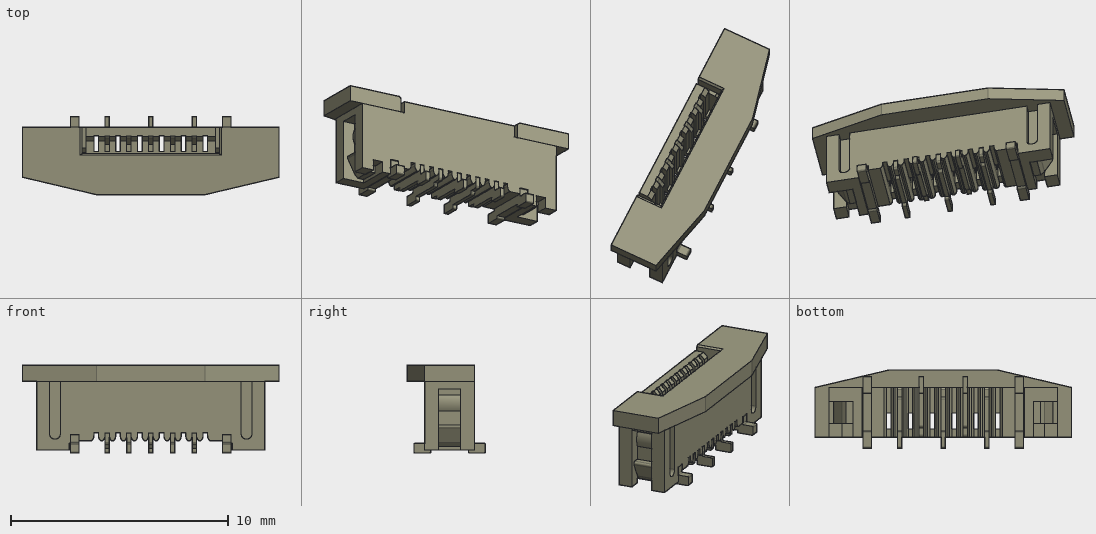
import cadquery as cq

OVERALL_LENGTH = 11.8
OVERALL_HEIGHT = 4.04
PITCH = 1.0
CONTACT_COUNT = 5
SLOT_COUNT = 2 * CONTACT_COUNT + 1
CONTACT_WIDTH = 0.2

HOUSING_LENGTH = 10.49
HOUSING_DEPTH = 2.3
HOUSING_BOTTOM = 0.13
HOUSING_TOP = 3.29
HALF_DEPTH = HOUSING_DEPTH / 2
HALF_LENGTH = HOUSING_LENGTH / 2

ENTRY_LENGTH = 5.95
ENTRY_FRONT = -0.06
ENTRY_BACK = 0.51
ENTRY_FLOOR = 1.12
WALL_TOP = 3.84
WALL_BEVEL_DEPTH = 0.21
WALL_BEVEL_HEIGHT = WALL_BEVEL_DEPTH
RAMP_LENGTH = 6.3
RAMP_BACK = 0.19
RAMP_HEIGHT = RAMP_BACK

SLOT_FRONT = 0.04
SLOT_BACK = 0.75
NOTCH_TOP = 0.92
NOTCH_FLARE_START = 0.79
NOTCH_FLARE_HALF_WIDTH = 0.21

UNDERSIDE = 0.55
FOOT_CLEARANCE_LENGTH = 7.48

GROOVE_X = 4.4
GROOVE_WIDTH = 0.5
GROOVE_BOTTOM = 0.64
GROOVE_DEPTH = 0.35

CHANNEL_WIDTH = 1.0
CHANNEL_TOP = 2.94
CHANNEL_INNER_X = 4.15
BACK_GAP_TOP = 0.64

PLATE_DEPTH = 3.1
PLATE_FRONT_LENGTH = 5.0
PLATE_NOTCH_LENGTH = RAMP_LENGTH
PLATE_NOTCH_CHAMFER_X = 0.11
PLATE_NOTCH_CHAMFER_Y = 0.07
PLATE_NOTCH_CHAMFER_HEIGHT = 0.07
PLATE_FRONT_Y = HALF_DEPTH - PLATE_DEPTH

ARM_FACE_X = 4.65
ARM_BULGE = 0.08
BULGE_TOP = 2.65
BULGE_BOTTOM = 1.94
HOOK_TOP = 1.3
HOOK_NOSE_X = 5.1
HOOK_NOSE_RADIUS = 0.1
HOOK_BOTTOM = 0.47
ARM_BOTTOM = 0.3
ARM_TIP_BEVEL = HOOK_BOTTOM - ARM_BOTTOM

FOOT_END = HALF_DEPTH + 0.5
FOOT_INNER_END = 0.86
FOOT_TOP = 0.45
FOOT_ROUND = 0.05
TOP_EDGE_ROUND = 0.04

CONTACT_END = HALF_DEPTH - 0.01
CONTACT_BOTTOM = 0.38
CONTACT_STEP_Y = 0.71
CONTACT_STEP_BOTTOM = 0.2
CONTACT_END_ROUND = 0.1
BEAM_FACE_Y = 0.37
BEAM_TIP_Y = 0.67
BEAM_TOP = 3.81
BEAM_SLOPE_HEIGHT = 0.51
BEAM_TIP_ROUND = 0.1

HOLD_DOWN_X = 3.49
HOLD_DOWN_WIDTH = 0.41
HOLD_DOWN_TOP = 0.85
HOLD_DOWN_END = HALF_DEPTH - 0.04


def box(x_range, y_range, z_range):
    """Box between two limits on each axis."""
    size = [high - low for low, high in (x_range, y_range, z_range)]
    corner = cq.Vector(x_range[0], y_range[0], z_range[0])
    return cq.Workplane(cq.Solid.makeBox(*size, corner))


def centred_box(length, y_range, z_range):
    """Box centred on X = 0."""
    return box((-length / 2, length / 2), y_range, z_range)


def extrude_along_x(points, width):
    """Extrude a Y-Z outline by a width centred on X = 0."""
    return cq.Workplane("YZ", origin=(-width / 2, 0, 0)).polyline(points).close().extrude(width)


def slot_positions():
    """X of every contact slot, at half the contact pitch."""
    return [(i - (SLOT_COUNT - 1) / 2) * PITCH / 2 for i in range(SLOT_COUNT)]


def contact_positions():
    return [(i - (CONTACT_COUNT - 1) / 2) * PITCH for i in range(CONTACT_COUNT)]


def with_mirror(right_half):
    """A +X feature together with its mirror image."""
    return right_half.union(right_half.mirror("YZ"))


def cable_wall():
    """Back wall of the cable entry, bevelled towards the entry."""
    bevel_z = WALL_TOP - WALL_BEVEL_HEIGHT
    return extrude_along_x(
        [
            (HALF_DEPTH, HOUSING_TOP),
            (HALF_DEPTH, WALL_TOP),
            (ENTRY_BACK + WALL_BEVEL_DEPTH, WALL_TOP),
            (ENTRY_BACK, bevel_z),
            (ENTRY_BACK, HOUSING_TOP),
        ],
        ENTRY_LENGTH,
    )


def cable_entry():
    """Slot for the cable, with a ramp that widens its mouth at both ends."""
    slot = centred_box(ENTRY_LENGTH, (ENTRY_FRONT, ENTRY_BACK), (ENTRY_FLOOR, HOUSING_TOP))
    ramp = extrude_along_x(
        [
            (RAMP_BACK, HOUSING_TOP),
            (0, HOUSING_TOP - RAMP_HEIGHT),
            (ENTRY_FRONT, HOUSING_TOP - RAMP_HEIGHT),
            (ENTRY_FRONT, HOUSING_TOP),
        ],
        RAMP_LENGTH,
    )
    return slot.union(ramp)


def contact_slot(x):
    """Vertical contact slot and the flared notch below it that runs front to back."""
    half_width = CONTACT_WIDTH / 2
    shaft = centred_box(CONTACT_WIDTH, (SLOT_FRONT, SLOT_BACK), (0, WALL_TOP))
    half_notch = (
        cq.Workplane("XZ", origin=(0, HALF_DEPTH, 0))
        .moveTo(0, NOTCH_TOP)
        .lineTo(half_width, NOTCH_TOP)
        .lineTo(half_width, NOTCH_FLARE_START)
        .tangentArcPoint((NOTCH_FLARE_HALF_WIDTH, UNDERSIDE), relative=False)
        .lineTo(NOTCH_FLARE_HALF_WIDTH, 0)
        .lineTo(0, 0)
        .close()
        .extrude(HOUSING_DEPTH)
    )
    return shaft.union(with_mirror(half_notch)).translate((x, 0, 0))


def underside_recess():
    """Raised underside between the hold-downs, stepped to clear their feet."""
    across = (-HALF_DEPTH, HALF_DEPTH)
    middle = centred_box(2 * HOLD_DOWN_X, across, (0, UNDERSIDE))
    foot_clearance = centred_box(FOOT_CLEARANCE_LENGTH, across, (0, FOOT_TOP))
    return middle.union(foot_clearance)


def front_groove():
    """Round-ended groove in the front face, open at the top."""
    radius = GROOVE_WIDTH / 2
    centre_z = GROOVE_BOTTOM + radius
    return (
        cq.Workplane("XZ", origin=(GROOVE_X, GROOVE_DEPTH - HALF_DEPTH, 0))
        .moveTo(-radius, HOUSING_TOP)
        .lineTo(-radius, centre_z)
        .threePointArc((0, GROOVE_BOTTOM), (radius, centre_z))
        .lineTo(radius, HOUSING_TOP)
        .close()
        .extrude(GROOVE_DEPTH)
    )


def end_channel():
    """Channel in the end face, its passage up to the slider plate, and a gap in the back wall."""
    half_width = CHANNEL_WIDTH / 2
    channel = box((CHANNEL_INNER_X, HALF_LENGTH), (-half_width, half_width), (0, CHANNEL_TOP))
    passage = box((CHANNEL_INNER_X, ARM_FACE_X), (-half_width, half_width), (CHANNEL_TOP, HOUSING_TOP))
    back_gap = box((CHANNEL_INNER_X, ARM_FACE_X), (half_width, HALF_DEPTH), (0, BACK_GAP_TOP))
    return channel.union(passage).union(back_gap)


def hold_down_pocket():
    """Slot from front to back that takes the upright part of a hold-down."""
    half_width = HOLD_DOWN_WIDTH / 2
    return box(
        (HOLD_DOWN_X - half_width, HOLD_DOWN_X + half_width),
        (-HALF_DEPTH, HALF_DEPTH),
        (0, HOLD_DOWN_TOP),
    )


def make_housing():
    body = centred_box(HOUSING_LENGTH, (-HALF_DEPTH, HALF_DEPTH), (HOUSING_BOTTOM, HOUSING_TOP))
    body = body.union(cable_wall()).cut(cable_entry()).cut(underside_recess())
    for x in slot_positions():
        body = body.cut(contact_slot(x))
    for feature in (front_groove(), end_channel(), hold_down_pocket()):
        body = body.cut(with_mirror(feature))
    return body


def slider_plate():
    """Plate with tapered front corners and a notch around the cable wall."""
    half_length = OVERALL_LENGTH / 2
    half_front = PLATE_FRONT_LENGTH / 2
    plate = (
        cq.Workplane("XY", origin=(0, 0, HOUSING_TOP))
        .polyline(
            [
                (-half_length, HALF_DEPTH),
                (-half_length, -HALF_DEPTH),
                (-half_front, PLATE_FRONT_Y),
                (half_front, PLATE_FRONT_Y),
                (half_length, -HALF_DEPTH),
                (half_length, HALF_DEPTH),
            ]
        )
        .close()
        .extrude(OVERALL_HEIGHT - HOUSING_TOP)
    )
    notch = centred_box(PLATE_NOTCH_LENGTH, (ENTRY_FRONT, HALF_DEPTH), (HOUSING_TOP, OVERALL_HEIGHT))
    return plate.cut(notch).cut(notch_chamfer())


def notch_chamfer():
    """Bevel around the top edge of the notch."""
    half_length = PLATE_NOTCH_LENGTH / 2
    outer_half_length = half_length + PLATE_NOTCH_CHAMFER_X
    bevel_bottom = OVERALL_HEIGHT - PLATE_NOTCH_CHAMFER_HEIGHT
    outer_front = ENTRY_FRONT - PLATE_NOTCH_CHAMFER_Y
    lower = cq.Wire.makePolygon(
        [
            cq.Vector(-half_length, HALF_DEPTH, bevel_bottom),
            cq.Vector(-half_length, ENTRY_FRONT, bevel_bottom),
            cq.Vector(half_length, ENTRY_FRONT, bevel_bottom),
            cq.Vector(half_length, HALF_DEPTH, bevel_bottom),
        ],
        close=True,
    )
    upper = cq.Wire.makePolygon(
        [
            cq.Vector(-outer_half_length, HALF_DEPTH, OVERALL_HEIGHT),
            cq.Vector(-outer_half_length, outer_front, OVERALL_HEIGHT),
            cq.Vector(outer_half_length, outer_front, OVERALL_HEIGHT),
            cq.Vector(outer_half_length, HALF_DEPTH, OVERALL_HEIGHT),
        ],
        close=True,
    )
    return cq.Workplane(cq.Solid.makeLoft([lower, upper], True))


def latch_arm():
    """Arm below the plate with a shallow bulge and a snap hook with a rounded nose."""
    arm = (
        cq.Workplane("XZ", origin=(0, CHANNEL_WIDTH / 2, 0))
        .moveTo(CHANNEL_INNER_X, HOUSING_TOP)
        .lineTo(ARM_FACE_X, HOUSING_TOP)
        .lineTo(ARM_FACE_X, BULGE_TOP)
        .threePointArc(
            (ARM_FACE_X + ARM_BULGE, (BULGE_TOP + BULGE_BOTTOM) / 2),
            (ARM_FACE_X, BULGE_BOTTOM),
        )
        .lineTo(ARM_FACE_X, HOOK_TOP)
        .lineTo(HOOK_NOSE_X, HOOK_TOP)
        .lineTo(ARM_FACE_X, HOOK_BOTTOM)
        .lineTo(ARM_FACE_X - ARM_TIP_BEVEL, ARM_BOTTOM)
        .lineTo(CHANNEL_INNER_X, ARM_BOTTOM)
        .close()
        .extrude(CHANNEL_WIDTH)
    )
    return arm.edges("|Y").edges(">X").fillet(HOOK_NOSE_RADIUS)


def make_slider():
    return slider_plate().union(with_mirror(latch_arm()))


def foot(width, root_y):
    """Solder foot that sticks out of the front, with a rounded toe and a filleted root."""
    toe = (
        centred_box(width, (-FOOT_END, -FOOT_INNER_END), (0, FOOT_TOP))
        .edges("|X")
        .fillet(FOOT_ROUND)
    )
    root_top = FOOT_TOP + FOOT_ROUND
    root_y_end = -root_y - FOOT_ROUND
    root = (
        cq.Workplane("YZ", origin=(-width / 2, 0, 0))
        .moveTo(root_y_end, FOOT_TOP)
        .lineTo(-root_y, FOOT_TOP)
        .lineTo(-root_y, root_top)
        .radiusArc((root_y_end, FOOT_TOP), FOOT_ROUND)
        .close()
        .extrude(width)
    )
    core = centred_box(width, (-root_y, -FOOT_INNER_END), (FOOT_ROUND, root_top))
    return toe.union(root).union(core)


def contact_base():
    """Bar across the housing with its foot at the front and a stepped, rounded back underside."""
    bar = (
        centred_box(CONTACT_WIDTH, (-CONTACT_END, CONTACT_END), (CONTACT_BOTTOM, NOTCH_TOP))
        .edges("|X and >Y and <Z")
        .fillet(CONTACT_END_ROUND)
    )
    step = (
        centred_box(CONTACT_WIDTH, (-CONTACT_END, CONTACT_STEP_Y), (CONTACT_STEP_BOTTOM, NOTCH_TOP))
        .edges("|X and >Y and <Z")
        .fillet(CONTACT_END_ROUND)
    )
    base = bar.union(step).edges("|X and >Z").fillet(TOP_EDGE_ROUND)
    return base.union(foot(CONTACT_WIDTH, CONTACT_END))


def contact_beam():
    """Upright beam whose face slopes back to a rounded tip."""
    beam = extrude_along_x(
        [
            (BEAM_FACE_Y, NOTCH_TOP),
            (BEAM_FACE_Y, BEAM_TOP - BEAM_SLOPE_HEIGHT),
            (BEAM_TIP_Y, BEAM_TOP),
            (SLOT_BACK, BEAM_TOP),
            (SLOT_BACK, NOTCH_TOP),
        ],
        CONTACT_WIDTH,
    )
    return beam.edges("|X and >Z").edges("<Y").fillet(BEAM_TIP_ROUND)


def make_contact(x, foot_at_back):
    base = contact_base()
    if foot_at_back:
        base = base.mirror("XZ")
    return base.union(contact_beam()).translate((x, 0, 0))


def make_hold_down(x):
    """Upright block across the housing with a foot at the front and at the back."""
    block = (
        centred_box(HOLD_DOWN_WIDTH, (-HOLD_DOWN_END, HOLD_DOWN_END), (HOUSING_BOTTOM, HOLD_DOWN_TOP))
        .edges("|X and >Z")
        .fillet(TOP_EDGE_ROUND)
    )
    front_foot = foot(HOLD_DOWN_WIDTH, HOLD_DOWN_END)
    return block.union(front_foot).union(front_foot.mirror("XZ")).translate((x, 0, 0))


housing = make_housing().solids().val()
slider = make_slider().solids().val()
contacts = [make_contact(x, i % 2 == 0).solids().val() for i, x in enumerate(contact_positions())]
hold_downs = [make_hold_down(side * HOLD_DOWN_X).solids().val() for side in (-1, 1)]

result = cq.Compound.makeCompound([housing, slider, *contacts, *hold_downs])